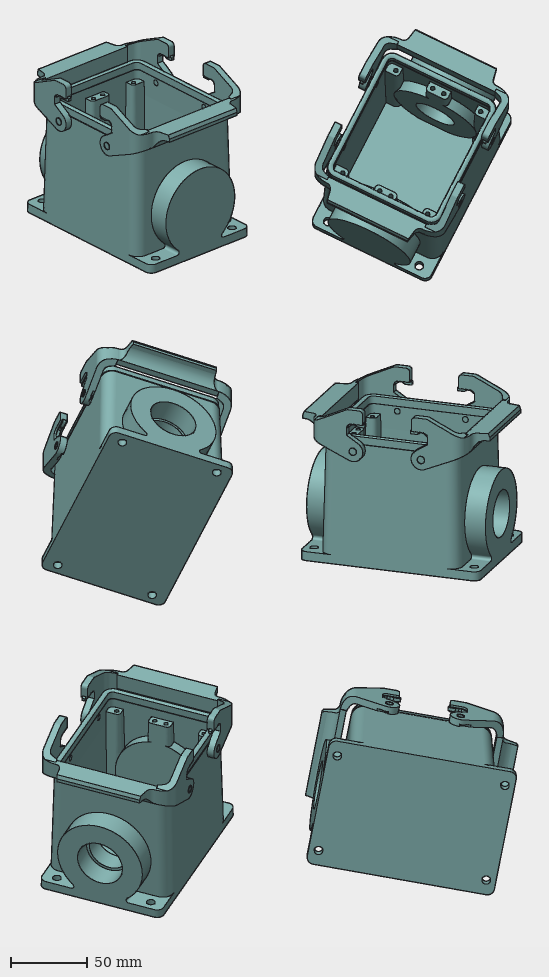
import cadquery as cq
import math

FLANGE_X = 124.8
FLANGE_Y = 86.9
FLANGE_HEIGHT = 6.3
FLANGE_CORNER = 4.8
MOUNT_HOLE_D = 5.6
MOUNT_HOLE_X = 55.9
MOUNT_HOLE_Y = 33.4

WALL_FOOT_X = 97.4
WALL_TOP_X = 93.6
WALL_TOP_Y = 83.3
WALL_TOP_Z = 84.5
WALL_CORNER = 7.8

FLANGE_TOP_Y = FLANGE_Y - (FLANGE_Y - WALL_TOP_Y) * FLANGE_HEIGHT / WALL_TOP_Z

RIM_X = 92.4
RIM_Y = 82.2
RIM_EDGE_Z = 89.8
RIM_TOP_Z = 90.3
RIM_CORNER = 7.2

CAVITY_X = 84.5
CAVITY_Y = 74.9
CAVITY_CORNER = 3.5
RIM_STEP = 0.1
CAVITY_DRAFT_Z = 68.1
FLOOR_Z = 4.7
FLOOR_X = 67.1
FLOOR_Y = 71.3

PILLAR_TOP_Z = 77.9
PILLAR_FACE_X = 35.4
PILLAR_ROUND = 2.6
CENTER_PILLAR_Y = 15.7
CORNER_PILLAR_EDGE_Y = 27.7
SCREW_HOLE_D = 2.7
SCREW_HOLE_DEPTH = 13.0
SCREW_HOLE_X = 38.8
SCREW_HOLES_Y = [-31.0, -4.0, 4.0, 31.0]

ENTRY_D = 60.3
ENTRY_Z = 32.9
ENTRY_POCKET_R = 1.8
ENTRY_BORE_D = 32.0
ENTRY_BORE_DEPTH = 15.1
ENTRY_THROAT_D = 28.0

PIVOT_X = 23.8
PIVOT_Z = 81.2
PIVOT_HEAD_D = 5.1
PIVOT_SHANK_D = 4.0
PIVOT_BOSS_D = 7.0
PIVOT_SPAN = 95.7

LEVER_Y = 94.7
ARM_THICKNESS = 4.8
ARM_INNER_Y = LEVER_Y / 2 - ARM_THICKNESS
ARM_END_R = 6.9
ARM_SLOPE = math.radians(25)
ARM_CREST_X = 27.7
ARM_FOOT_X = 52.2
HOOK_TOP_Z = 109.9
HOOK_END_X = 17.0
HOOK_CORNER = 2.6
SLOT_ROOF_Z = 100.1
SLOT_BACK_X = 28.2
SLOT_BOTTOM_Z = 92.1
SLOT_ROUND = 3.4
SLOT_SLOPE = math.radians(32)
NOTCH_DEPTH = 1.5
NOTCH_HEIGHT = 2.6
NOTCH_LENGTH = 13.0

BEAD_THICKNESS = 2.2
BEAD_DROP = 2.1
BEAD_REACH = 1.2
BEAD_ROUND = 0.8
BEAD_THROAT_X = 22.8
BEAD_THROAT_DROP = 0.8
BEAD_HEEL_X = 20.6

HANDLE_TIP_X = 65.2
HANDLE_TIP_TOP_X = 64.2
HANDLE_TIP_Z = 95.8
HANDLE_TOP_Z = 98.4
HANDLE_BOTTOM_Z = 93.5
HANDLE_TIP_Y = 59.0
HANDLE_ROOT_Y = 63.2
HANDLE_ROOT_R = 4.0
SCOOP_START_X = 61.6
SCOOP_MIDDLE = (-57.4, 91.6)
BAR_OUTER_X = 54.3
BAR_INNER_X = 50.1
BAR_BOTTOM_Z = 86.9
BAR_HALF_Y = 35.8
BEND_OUTER_START = (-45.4, LEVER_Y / 2)
BEND_OUTER_MIDDLE = (-52.3, 43.2)
BEND_INNER_START = (-44.4, ARM_INNER_Y)
BEND_INNER_MIDDLE = (-48.5, 39.8)


def rounded_loft(x0, y0, z0, x1, y1, z1, corner):
    """Drafted block with rounded upright corners between two rectangular sections."""
    lower = cq.Sketch().rect(x0, y0).vertices().fillet(corner)
    upper = cq.Sketch().rect(x1, y1).vertices().fillet(corner)
    upper = upper.moved(cq.Location((0, 0, z1 - z0)))
    return cq.Workplane("XY", origin=(0, 0, z0)).placeSketch(lower, upper).loft()


def cylinder_x(diameter, x0, x1, z):
    return cq.Workplane("YZ", origin=(x0, 0, z)).circle(diameter / 2).extrude(x1 - x0)


def cylinder_y(diameter, x, y0, y1, z):
    return cq.Workplane("XZ", origin=(x, y0, z)).circle(diameter / 2).extrude(y0 - y1)


def flange():
    plate = rounded_loft(FLANGE_X, FLANGE_Y, 0, FLANGE_X, FLANGE_TOP_Y, FLANGE_HEIGHT, FLANGE_CORNER)
    holes = [(x, y) for x in (-MOUNT_HOLE_X, MOUNT_HOLE_X) for y in (-MOUNT_HOLE_Y, MOUNT_HOLE_Y)]
    return plate.cut(
        cq.Workplane("XY").pushPoints(holes).circle(MOUNT_HOLE_D / 2).extrude(FLANGE_HEIGHT)
    )


def rim():
    """Wall of even thickness with a crowned top, swept once around the opening."""
    half_width = (RIM_Y - CAVITY_Y) / 4
    x = RIM_X / 2 - half_width
    y = RIM_Y / 2 - half_width
    corner = RIM_CORNER - half_width
    path = (
        cq.Workplane("XY")
        .moveTo(0, -y)
        .lineTo(x - corner, -y)
        .radiusArc((x, corner - y), -corner)
        .lineTo(x, y - corner)
        .radiusArc((x - corner, y), -corner)
        .lineTo(corner - x, y)
        .radiusArc((-x, y - corner), -corner)
        .lineTo(-x, corner - y)
        .radiusArc((corner - x, -y), -corner)
        .close()
    )
    return (
        cq.Workplane("YZ")
        .moveTo(-y - half_width, FLANGE_HEIGHT)
        .lineTo(-y - half_width, RIM_EDGE_Z)
        .threePointArc((-y, RIM_TOP_Z), (-y + half_width, RIM_EDGE_Z))
        .lineTo(-y + half_width, FLANGE_HEIGHT)
        .close()
        .sweep(path)
    )


def entry_bosses():
    """Round bosses through both end walls, with 45 degree flanks that end in a rounded pocket on the flange."""
    radius = ENTRY_D / 2
    flank = radius * math.sqrt(0.5)
    pocket_r = ENTRY_POCKET_R
    pocket_z = FLANGE_HEIGHT + pocket_r
    pocket_y = pocket_z - ENTRY_Z + (radius + pocket_r) * math.sqrt(2)
    touch = pocket_r * math.sqrt(0.5)
    middle = math.radians(202.5)
    foot = (
        cq.Workplane("YZ", origin=(-FLANGE_X / 2, 0, 0))
        .moveTo(flank, ENTRY_Z - flank)
        .lineTo(pocket_y - touch, pocket_z + touch)
        .threePointArc(
            (pocket_y + pocket_r * math.cos(middle), pocket_z + pocket_r * math.sin(middle)),
            (pocket_y, FLANGE_HEIGHT),
        )
        .lineTo(0, FLANGE_HEIGHT)
        .lineTo(0, ENTRY_Z - flank)
        .close()
        .extrude(FLANGE_X)
    )
    bosses = cylinder_x(ENTRY_D, -FLANGE_X / 2, FLANGE_X / 2, ENTRY_Z)
    return bosses.union(foot).union(foot.mirror("XZ"))


def wide_cavity():
    """Drafted above the floor, upright higher up and a hair wider inside the rim."""
    x, y = CAVITY_X - 2 * RIM_STEP, CAVITY_Y - 2 * RIM_STEP
    lower = rounded_loft(x, FLOOR_Y, FLOOR_Z, x, y, CAVITY_DRAFT_Z, CAVITY_CORNER)
    upper = rounded_loft(x, y, CAVITY_DRAFT_Z, x, y, WALL_TOP_Z, CAVITY_CORNER)
    opening = rounded_loft(CAVITY_X, CAVITY_Y, WALL_TOP_Z, CAVITY_X, CAVITY_Y, RIM_TOP_Z, CAVITY_CORNER)
    return lower.union(upper).union(opening)


def end_draft():
    """Draft angle of the faces that stand at both ends of the cavity floor."""
    return math.degrees(math.atan((PILLAR_FACE_X - FLOOR_X / 2) / (PILLAR_TOP_Z - FLOOR_Z)))


def pillar(y0, y1):
    """Pillar at the +X end, widening downwards from the given width at its top."""
    reach = RIM_X / 2 - PILLAR_FACE_X
    plan = (
        cq.Sketch()
        .push([(PILLAR_FACE_X + reach / 2, (y0 + y1) / 2)])
        .rect(reach, y1 - y0)
        .reset()
        .vertices("<X")
        .fillet(PILLAR_ROUND)
    )
    return (
        cq.Workplane("XY", origin=(0, 0, PILLAR_TOP_Z))
        .placeSketch(plan)
        .extrude(FLOOR_Z - PILLAR_TOP_Z, taper=-end_draft())
    )


def cavity_fittings():
    """Pillars and inner ends of the entry bosses, to be left standing in the cavity."""
    fittings = cylinder_x(ENTRY_D, FLOOR_X / 2, RIM_X / 2, ENTRY_Z)
    spans = [
        (-CENTER_PILLAR_Y / 2, CENTER_PILLAR_Y / 2),
        (CORNER_PILLAR_EDGE_Y, WALL_TOP_Y / 2),
        (-WALL_TOP_Y / 2, -CORNER_PILLAR_EDGE_Y),
    ]
    for y0, y1 in spans:
        fittings = fittings.union(pillar(y0, y1))
    core = (
        cq.Workplane("XY", origin=(0, 0, FLOOR_Z))
        .rect(FLOOR_X, FLANGE_Y)
        .workplane(offset=PILLAR_TOP_Z - FLOOR_Z)
        .rect(2 * PILLAR_FACE_X, FLANGE_Y)
        .loft(ruled=True)
    )
    fittings = fittings.cut(core)
    holes = (
        cq.Workplane("XY", origin=(0, 0, PILLAR_TOP_Z))
        .pushPoints([(SCREW_HOLE_X, y) for y in SCREW_HOLES_Y])
        .circle(SCREW_HOLE_D / 2)
        .extrude(-SCREW_HOLE_DEPTH)
    )
    fittings = fittings.cut(holes)
    return fittings.union(fittings.mirror("YZ"))


def make_housing():
    walls = rounded_loft(WALL_FOOT_X, FLANGE_Y, 0, WALL_TOP_X, WALL_TOP_Y, WALL_TOP_Z, WALL_CORNER)
    body = flange().union(walls).union(entry_bosses()).union(rim())
    for x in (-PIVOT_X, PIVOT_X):
        body = body.union(cylinder_y(PIVOT_BOSS_D, x, -ARM_INNER_Y, ARM_INNER_Y, PIVOT_Z))
    body = body.cut(wide_cavity().cut(cavity_fittings()))
    for x in (-PIVOT_X, PIVOT_X):
        body = body.cut(cylinder_y(PIVOT_SHANK_D, x, -ARM_INNER_Y, ARM_INNER_Y, PIVOT_Z))
    outer_x = -FLANGE_X / 2
    bore = cylinder_x(ENTRY_BORE_D, outer_x, outer_x + ENTRY_BORE_DEPTH, ENTRY_Z)
    throat = cylinder_x(ENTRY_THROAT_D, outer_x, 0, ENTRY_Z)
    return body.cut(bore).cut(throat)


def around_pivot(angle):
    """Point of the round arm end, at an angle counted from +X towards +Z."""
    return (-PIVOT_X + ARM_END_R * math.cos(angle), PIVOT_Z + ARM_END_R * math.sin(angle))


def lever_side():
    """Side profile of the lever, through its full width."""
    upper_end = around_pivot(math.pi / 2 - SLOT_SLOPE)
    lower_end = around_pivot(-math.pi / 2 - ARM_SLOPE)
    profile = (
        cq.Workplane("XZ", origin=(0, LEVER_Y / 2, 0))
        .moveTo(-HANDLE_TIP_X, HANDLE_BOTTOM_Z)
        .lineTo(-HANDLE_TIP_X, HANDLE_TIP_Z)
        .lineTo(-HANDLE_TIP_TOP_X, HANDLE_TOP_Z)
        .lineTo(-ARM_FOOT_X, HANDLE_TOP_Z)
        .lineTo(-ARM_CREST_X, HOOK_TOP_Z)
        .lineTo(-HOOK_END_X, HOOK_TOP_Z)
        .lineTo(-HOOK_END_X, SLOT_ROOF_Z)
        .lineTo(-SLOT_BACK_X + SLOT_ROUND, SLOT_ROOF_Z)
        .radiusArc((-SLOT_BACK_X, SLOT_ROOF_Z - SLOT_ROUND), -SLOT_ROUND)
        .lineTo(-SLOT_BACK_X, SLOT_BOTTOM_Z)
        .lineTo(*upper_end)
        .threePointArc(around_pivot(-ARM_SLOPE), lower_end)
        .lineTo(-BAR_OUTER_X, BAR_BOTTOM_Z)
        .threePointArc(SCOOP_MIDDLE, (-SCOOP_START_X, HANDLE_BOTTOM_Z))
        .close()
        .extrude(LEVER_Y)
    )
    return profile.edges("|Y and >Z").fillet(HOOK_CORNER)


def bent_half(start, middle, bar_x):
    """Plan of one half of the U: arm side, bend of two tangent arcs and the start of the bar."""
    return (
        cq.Workplane("XY")
        .moveTo(0, start[1])
        .lineTo(*start)
        .tangentArcPoint(middle, relative=False)
        .tangentArcPoint((-bar_x, BAR_HALF_Y), relative=False)
        .lineTo(-bar_x, 0)
        .lineTo(0, 0)
        .close()
        .extrude(HOOK_TOP_Z)
    )


def lever_plan():
    """U-shaped outline of the lever from above: two arms joined by the bar and its handle."""
    half = bent_half(BEND_OUTER_START, BEND_OUTER_MIDDLE, BAR_OUTER_X)
    handle = (
        cq.Workplane("XY")
        .polyline([
            (0, 0),
            (0, HANDLE_ROOT_Y / 2),
            (-BAR_OUTER_X, HANDLE_ROOT_Y / 2),
            (-HANDLE_TIP_X, HANDLE_TIP_Y / 2),
            (-HANDLE_TIP_X, 0),
        ])
        .close()
        .extrude(HOOK_TOP_Z)
    )
    half = half.union(handle)
    root = cq.selectors.BoxSelector((-54.8, 30, 0), (-53.5, 32.6, 117.5))
    half = half.edges("|Z").edges(root).fillet(HANDLE_ROOT_R)
    half = half.cut(bent_half(BEND_INNER_START, BEND_INNER_MIDDLE, BAR_INNER_X))
    return half.union(half.mirror("XZ"))


def slot_bead():
    """Bead that hangs from the slot roof of the -Y arm and reaches past the hook end."""
    roof_z = SLOT_ROOF_Z
    bottom_z = roof_z - BEAD_DROP
    end_x = -HOOK_END_X + BEAD_REACH
    return (
        cq.Workplane("XZ", origin=(0, -(LEVER_Y - ARM_THICKNESS - BEAD_THICKNESS) / 2, 0))
        .moveTo(-SLOT_BACK_X, roof_z + BEAD_REACH)
        .lineTo(-HOOK_END_X, roof_z + BEAD_REACH)
        .lineTo(end_x, roof_z)
        .lineTo(end_x, bottom_z + BEAD_ROUND)
        .radiusArc((end_x - BEAD_ROUND, bottom_z), BEAD_ROUND)
        .lineTo(-BEAD_HEEL_X, bottom_z)
        .lineTo(-BEAD_THROAT_X, roof_z - BEAD_THROAT_DROP)
        .lineTo(-SLOT_BACK_X + SLOT_ROUND, roof_z - BEAD_THROAT_DROP)
        .lineTo(-SLOT_BACK_X, roof_z - SLOT_ROUND)
        .close()
        .extrude(BEAD_THICKNESS)
    )


def trim_bar(lever):
    """Levels the bar between the bends, above and below."""
    above = cq.Workplane("XY", origin=(0, 0, HANDLE_TOP_Z)).rect(2 * HANDLE_TIP_X, 2 * BAR_HALF_Y)
    above = above.extrude(HOOK_TOP_Z - HANDLE_TOP_Z)
    below = cq.Workplane("XY").rect(2 * HANDLE_TIP_X, 2 * BAR_HALF_Y).extrude(BAR_BOTTOM_Z)
    return lever.cut(above).cut(below)


def end_notch():
    """Notch in the inner side of the +Y arm, under its round end."""
    low_z = PIVOT_Z - ARM_END_R
    return (
        cq.Workplane("XY", origin=(-PIVOT_X - NOTCH_LENGTH, ARM_INNER_Y, low_z))
        .rect(NOTCH_LENGTH, NOTCH_DEPTH, centered=False)
        .extrude(NOTCH_HEIGHT)
    )


def pivot_pin():
    """Pin of the +Y arm: a head that stands just proud of the arm and a shank through the housing wall."""
    head = cylinder_y(PIVOT_HEAD_D, -PIVOT_X, ARM_INNER_Y, PIVOT_SPAN / 2, PIVOT_Z)
    shank = cylinder_y(PIVOT_SHANK_D, -PIVOT_X, CAVITY_Y / 2 - RIM_STEP, ARM_INNER_Y, PIVOT_Z)
    return head.union(shank)


def make_lever():
    """Lever at the -X end, with its two pivot pins."""
    lever = trim_bar(lever_side().intersect(lever_plan()))
    bead = slot_bead()
    lever = lever.union(bead).union(bead.mirror("XZ"))
    notch = end_notch()
    lever = lever.cut(notch).cut(notch.mirror("XZ"))
    pin = pivot_pin()
    return lever.union(pin).union(pin.mirror("XZ"))


housing = make_housing()
lever = make_lever()
levers = [lever.rotate((0, 0, 0), (0, 0, 1), angle) for angle in (0, 180)]

result = cq.Compound.makeCompound([housing.val(), *[one.val() for one in levers]])